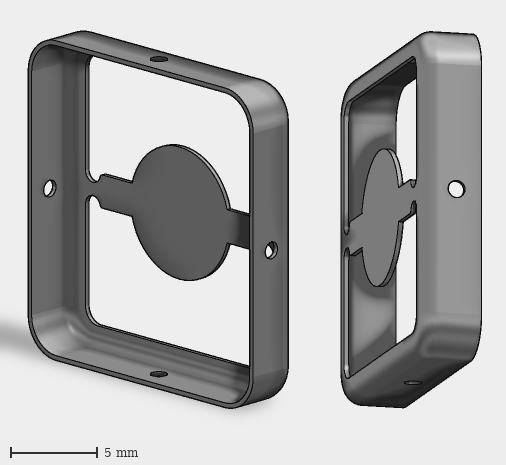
import cadquery as cq

width = 18.3
height = 19.3
depth = 3.5
wall = 0.29
corner_radius = 2.3
rim_radius = 1.0

window_width = 15.27
window_height = 16.37
window_radius = 1.0

disc_radius = 4.0
arm_half_width = 1.0
notch_radius = 0.6
arm_corner_radius = 0.2

hole_diameter = 1.0
hole_from_open_edge = 1.5

floor_inner_y = depth - wall
notch_x = window_width / 2 - notch_radius


def prism(size_x, size_z, start_y, length, radius):
    """Rounded rectangular block centred on the Y axis, growing toward +Y."""
    block = cq.Workplane("XY").box(size_x, length, size_z)
    return block.edges("|Y").fillet(radius).translate((0, start_y + length / 2, 0))


def make_shell():
    outer = prism(width, height, 0, depth, corner_radius)
    outer = outer.faces(">Y").edges().fillet(rim_radius)
    cavity = prism(width - 2 * wall, height - 2 * wall, 0, floor_inner_y, corner_radius - wall)
    cavity = cavity.faces(">Y").edges().fillet(rim_radius - wall)
    return outer.cut(cavity)


def floor_cylinder(x, z, radius):
    """Cylinder along Y spanning the floor thickness."""
    base = cq.Workplane("XZ", origin=(x, floor_inner_y, z))
    return base.circle(radius).extrude(-wall)


def make_arms():
    """Bar across the window, notched beside the frame, with rounded notch corners."""
    arms = cq.Workplane("XY").box(window_width, wall, 2 * arm_half_width)
    arms = arms.translate((0, floor_inner_y + wall / 2, 0))
    for side_x in (-1, 1):
        for side_z in (-1, 1):
            arms = arms.cut(floor_cylinder(side_x * notch_x, side_z * arm_half_width, notch_radius))
    corner_x = notch_x - notch_radius
    margin = notch_radius / 2
    for side_x in (-1, 1):
        corner_zone = cq.selectors.BoxSelector(
            (side_x * corner_x - margin, 0, -height),
            (side_x * corner_x + margin, depth, height),
        )
        arms = arms.edges("|Y").edges(corner_zone).fillet(arm_corner_radius)
    return arms


def make_wall_holes():
    across_x = cq.Workplane("YZ").center(hole_from_open_edge, 0)
    across_x = across_x.circle(hole_diameter / 2).extrude(width / 2, both=True)
    across_z = cq.Workplane("XY").center(0, hole_from_open_edge)
    across_z = across_z.circle(hole_diameter / 2).extrude(height / 2, both=True)
    return across_x.union(across_z)


window = prism(window_width, window_height, floor_inner_y, wall, window_radius)
disc = floor_cylinder(0, 0, disc_radius)

result = make_shell().cut(window).union(make_arms()).union(disc).cut(make_wall_holes())